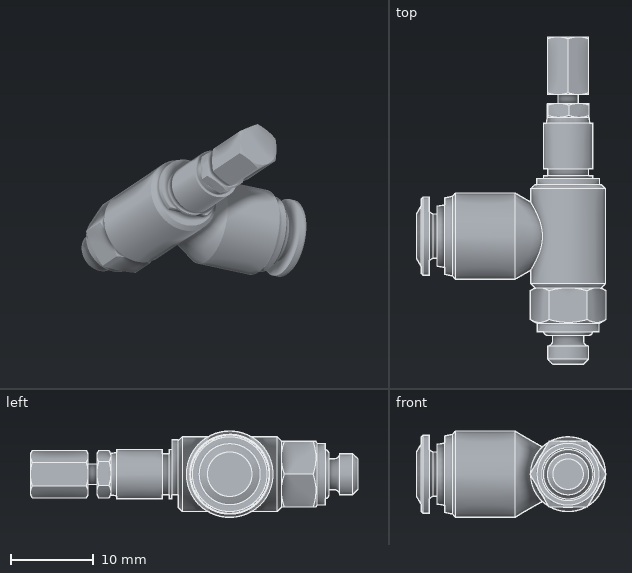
import cadquery as cq
import math


KNOB_TOP = 24.15
KNOB_LENGTH = 7.0
STEM_GAP = 1.05
NUT_THICKNESS = 1.7
SHOULDER_LENGTH = 0.7
SLEEVE_LENGTH = 5.55
NECK_LENGTH = 0.8
RING_THICKNESS = 0.35
CLIP_THICKNESS = 0.75
BODY_LENGTH = 12.5
HEX_LENGTH = 4.35
SEAT_LENGTH = 1.0
RELIEF_LENGTH = 1.7

KNOB_BOTTOM = KNOB_TOP - KNOB_LENGTH
NUT_TOP = KNOB_BOTTOM - STEM_GAP
NUT_BOTTOM = NUT_TOP - NUT_THICKNESS
SLEEVE_TOP = NUT_BOTTOM - SHOULDER_LENGTH
SLEEVE_BOTTOM = SLEEVE_TOP - SLEEVE_LENGTH
RING_TOP = SLEEVE_BOTTOM - NECK_LENGTH
RING_BOTTOM = RING_TOP - RING_THICKNESS
BODY_TOP = RING_BOTTOM - CLIP_THICKNESS
BODY_BOTTOM = BODY_TOP - BODY_LENGTH
HEX_BOTTOM = BODY_BOTTOM - HEX_LENGTH
SEAT_BOTTOM = HEX_BOTTOM - SEAT_LENGTH
THREAD_TOP = SEAT_BOTTOM - RELIEF_LENGTH
TOTAL_LENGTH = 39.7
THREAD_BOTTOM = KNOB_TOP - TOTAL_LENGTH

KNOB_FLATS = 5.0
STEM_RADIUS = 1.25
NUT_TWIST = 2.0
SHOULDER_TOP_RADIUS = 2.55
SHOULDER_BOTTOM_RADIUS = 2.65
SLEEVE_RADIUS = 3.0
NECK_RADIUS = 2.5
BODY_RADIUS = 4.55
BODY_CHAMFER = 0.5
HEX_FLATS = 8.0
HEX_CHAMFER_ANGLE = 30.0

CLIP_RADIUS = 3.83
CLIP_CENTER_Z = 0.37
CLIP_FLAT_Z = -2.5

SEAT_RADIUS = 3.75
SEAL_RADIUS = 3.0
SEAL_SECTION_RADIUS = 0.57
SEAL_RECESS_RIM_RADIUS = 3.2
SEAL_RECESS_DEPTH = 0.65
SEAL_PROJECTION = 0.45
RELIEF_RADIUS = 1.9
THREAD_RADIUS = 2.5
THREAD_CHAMFER = 0.65

HEX_CORNER_RADIUS = HEX_FLATS / math.sqrt(3)
TOTAL_WIDTH = 23.02
BUTTON_TIP_X = HEX_CORNER_RADIUS - TOTAL_WIDTH
BUTTON_NOSE_LENGTH = 0.6
BUTTON_TIP_RADIUS = 2.7
BUTTON_NOSE_RADIUS = 3.7
BUTTON_FLANGE_THICKNESS = 1.0
BUTTON_FLANGE_RADIUS = 4.75
BUTTON_CHAMFER = 0.22
BUTTON_ROOT_RADIUS = 2.95
BUTTON_TAPER_LENGTH = 0.4
BUTTON_STEM_RADIUS = 2.7
BUTTON_STEM_LENGTH = 0.5
COLLET_LENGTH = 0.95
COLLET_FRONT_RADIUS = 3.65
COLLET_BACK_RADIUS = 3.8
CAP_LENGTH = 0.95
CAP_FRONT_RADIUS = 4.65
CAP_BACK_RADIUS = 4.85
SOCKET_RADIUS = 5.25
SOCKET_CHAMFER_LENGTH = 0.35
SOCKET_CONE_X = -6.45
SOCKET_CONE_ANGLE = 30.0


def turned_about_y(profile):
    """Solid turned about Y from (radius, y) points, closed along the axis."""
    first_y = profile[0][1]
    last_y = profile[-1][1]
    points = [(0, first_y)] + profile + [(0, last_y)]
    return cq.Workplane("XY").polyline(points).close().revolve(360, (0, 0), (0, 1))


def turned_about_x(profile):
    """Solid turned about X from (x, radius) points, closed along the axis."""
    first_x = profile[0][0]
    last_x = profile[-1][0]
    points = [(first_x, 0)] + profile + [(last_x, 0)]
    return cq.Workplane("XY").polyline(points).close().revolve(360, (0, 0), (1, 0))


def cylinder(radius, top, bottom):
    return turned_about_y([(radius, top), (radius, bottom)])


def chamfered_hexagon(flats, top, bottom, turn, bottom_radius):
    """Hexagon along Y with turned corners; turn (degrees) is measured from corners on X."""
    corner_radius = flats / math.sqrt(3)
    top_radius = flats / 2
    chamfer_slope = math.tan(math.radians(HEX_CHAMFER_ANGLE))
    top_drop = (corner_radius - top_radius) * chamfer_slope
    bottom_rise = (corner_radius - bottom_radius) * chamfer_slope
    prism = (
        cq.Workplane("XZ", origin=(0, top, 0))
        .polygon(6, 2 * corner_radius)
        .extrude(top - bottom)
        .rotate((0, 0, 0), (0, 1, 0), turn)
    )
    envelope = turned_about_y([
        (top_radius, top),
        (corner_radius, top - top_drop),
        (corner_radius, bottom + bottom_rise),
        (bottom_radius, bottom),
    ])
    return prism.intersect(envelope)


def adjusting_end():
    """Knob, stem, lock nut, sleeve and retaining ring."""
    corners_on_z = 30
    nut_turn = corners_on_z + NUT_TWIST
    face_radius = KNOB_FLATS / 2
    knob = chamfered_hexagon(KNOB_FLATS, KNOB_TOP, KNOB_BOTTOM, corners_on_z, face_radius)
    nut = chamfered_hexagon(KNOB_FLATS, NUT_TOP, NUT_BOTTOM, nut_turn, face_radius)
    shoulder = turned_about_y([
        (SHOULDER_TOP_RADIUS, NUT_BOTTOM),
        (SHOULDER_BOTTOM_RADIUS, SLEEVE_TOP),
    ])
    return (
        knob
        .union(cylinder(STEM_RADIUS, KNOB_BOTTOM, NUT_TOP))
        .union(nut)
        .union(shoulder)
        .union(cylinder(SLEEVE_RADIUS, SLEEVE_TOP, SLEEVE_BOTTOM))
        .union(cylinder(NECK_RADIUS, SLEEVE_BOTTOM, RING_TOP))
        .union(cylinder(SLEEVE_RADIUS, RING_TOP, RING_BOTTOM))
    )


def retaining_clip():
    """Disc set above the spindle axis, cut flat underneath."""
    disc = cylinder(CLIP_RADIUS, RING_BOTTOM, BODY_TOP).translate((0, 0, CLIP_CENTER_Z))
    keep_height = CLIP_CENTER_Z + CLIP_RADIUS - CLIP_FLAT_Z
    keep = cq.Workplane("XY").box(
        2 * CLIP_RADIUS, CLIP_THICKNESS, keep_height, centered=(True, False, False)
    )
    return disc.intersect(keep.translate((0, BODY_TOP, CLIP_FLAT_Z)))


def body():
    end_radius = BODY_RADIUS - BODY_CHAMFER
    return turned_about_y([
        (end_radius, BODY_TOP),
        (BODY_RADIUS, BODY_TOP - BODY_CHAMFER),
        (BODY_RADIUS, BODY_BOTTOM + BODY_CHAMFER),
        (end_radius, BODY_BOTTOM),
    ])


def seal_seat():
    """Round seat with a tapered recess holding the O-ring."""
    recess_floor = SEAT_BOTTOM + SEAL_RECESS_DEPTH
    recess = turned_about_y([
        (SEAL_RADIUS, recess_floor),
        (SEAL_RECESS_RIM_RADIUS, SEAT_BOTTOM),
    ])
    ring_center_radius = SEAL_RADIUS - SEAL_SECTION_RADIUS
    ring_center_y = SEAT_BOTTOM - SEAL_PROJECTION + SEAL_SECTION_RADIUS
    o_ring = (
        cq.Workplane("XY")
        .center(ring_center_radius, ring_center_y)
        .circle(SEAL_SECTION_RADIUS)
        .revolve(360, (-ring_center_radius, 0), (-ring_center_radius, 1))
    )
    seat = cylinder(SEAT_RADIUS, HEX_BOTTOM, SEAT_BOTTOM).cut(recess)
    return seat.union(o_ring)


def thread():
    """Relief neck flaring in a quarter arc to the plain threaded end, without helix."""
    flare = THREAD_RADIUS - RELIEF_RADIUS
    flare_top = THREAD_TOP + flare
    arc_offset = flare * math.cos(math.radians(45))
    arc_middle = (THREAD_RADIUS - arc_offset, flare_top - arc_offset)
    return (
        cq.Workplane("XY")
        .moveTo(0, HEX_BOTTOM)
        .lineTo(RELIEF_RADIUS, HEX_BOTTOM)
        .lineTo(RELIEF_RADIUS, flare_top)
        .threePointArc(arc_middle, (THREAD_RADIUS, THREAD_TOP))
        .lineTo(THREAD_RADIUS, THREAD_BOTTOM + THREAD_CHAMFER)
        .lineTo(THREAD_RADIUS - THREAD_CHAMFER, THREAD_BOTTOM)
        .lineTo(0, THREAD_BOTTOM)
        .close()
        .revolve(360, (0, 0), (0, 1))
    )


def tube_socket():
    """Release button, collet, cap and socket, tapering into the body."""
    flange_front = BUTTON_TIP_X + BUTTON_NOSE_LENGTH
    flange_back = flange_front + BUTTON_FLANGE_THICKNESS
    taper_end = flange_back + BUTTON_TAPER_LENGTH
    collet_front = taper_end + BUTTON_STEM_LENGTH
    cap_front = collet_front + COLLET_LENGTH
    cap_back = cap_front + CAP_LENGTH
    cone_slope = math.tan(math.radians(SOCKET_CONE_ANGLE))
    cone_end_radius = SOCKET_RADIUS + SOCKET_CONE_X * cone_slope
    return turned_about_x([
        (BUTTON_TIP_X, BUTTON_TIP_RADIUS),
        (flange_front, BUTTON_NOSE_RADIUS),
        (flange_front, BUTTON_FLANGE_RADIUS - BUTTON_CHAMFER),
        (flange_front + BUTTON_CHAMFER, BUTTON_FLANGE_RADIUS),
        (flange_back, BUTTON_FLANGE_RADIUS),
        (flange_back, BUTTON_ROOT_RADIUS),
        (taper_end, BUTTON_STEM_RADIUS),
        (collet_front, BUTTON_STEM_RADIUS),
        (collet_front, COLLET_FRONT_RADIUS),
        (cap_front, COLLET_BACK_RADIUS),
        (cap_front, CAP_FRONT_RADIUS),
        (cap_back, CAP_BACK_RADIUS),
        (cap_back + SOCKET_CHAMFER_LENGTH, SOCKET_RADIUS),
        (SOCKET_CONE_X, SOCKET_RADIUS),
        (0, cone_end_radius),
    ])


result = (
    body()
    .union(tube_socket())
    .union(retaining_clip())
    .union(adjusting_end())
    .union(chamfered_hexagon(HEX_FLATS, BODY_BOTTOM, HEX_BOTTOM, 0, SEAT_RADIUS))
    .union(seal_seat())
    .union(thread())
)